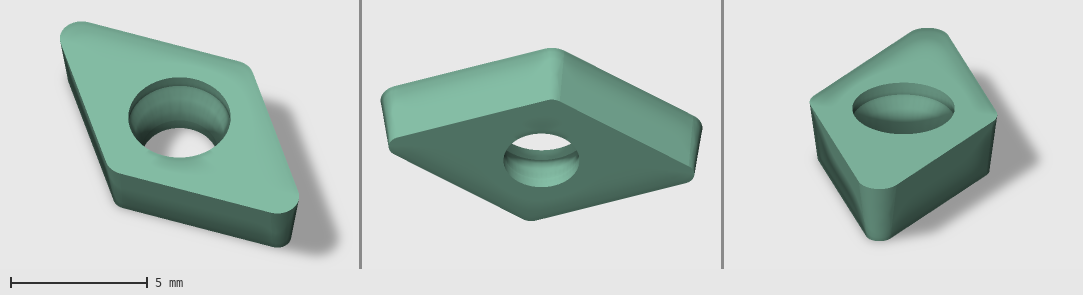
import cadquery as cq
import math

length = 10.72
width = 6.35
thickness = 2.38
acute_angle = math.radians(55)
clearance_angle = 7.0

bore_radius = 1.39
mouth_radius = 1.88
mouth_depth = 0.5
seat_arc_radius = 2.36

spread = (1 + math.cos(acute_angle)) / math.sin(acute_angle)
corner_radius = (width * spread - length) / (2 * (spread - 1))


def rounded_rhombus(inset):
    """Wire of the outline moved inward by inset, at the matching height."""
    height = -inset / math.tan(math.radians(clearance_angle))
    half_width = width / 2 - inset
    side = 2 * half_width / math.sin(acute_angle)
    lean = side * math.cos(acute_angle)
    left = (side + lean) / 2
    right = (side - lean) / 2
    corners = [(-left, -half_width), (right, -half_width), (left, half_width), (-right, half_width)]
    sharp = cq.Sketch().polygon(corners + corners[:1])
    outline = sharp.vertices().fillet(corner_radius - inset)
    return outline._faces.Faces()[0].outerWire().translate(cq.Vector(0, 0, height))


def insert_body():
    bottom_inset = thickness * math.tan(math.radians(clearance_angle))
    wires = [rounded_rhombus(bottom_inset), rounded_rhombus(0)]
    body = cq.Solid.makeLoft(wires, True)
    return cq.Workplane("XY").newObject([body])


def screw_hole():
    """Revolved cutter; the seat arc runs tangent into the bore."""
    arc_centre_x = bore_radius + seat_arc_radius

    def arc_point(radius):
        drop = math.sqrt(seat_arc_radius**2 - (arc_centre_x - radius) ** 2)
        return radius, drop

    seat_height = arc_point(mouth_radius)[1]
    bore_top = -mouth_depth - seat_height
    middle_x, middle_height = arc_point((bore_radius + mouth_radius) / 2)
    return (
        cq.Workplane("XZ")
        .moveTo(0, 0)
        .lineTo(mouth_radius, 0)
        .lineTo(mouth_radius, -mouth_depth)
        .threePointArc((middle_x, bore_top + middle_height), (bore_radius, bore_top))
        .lineTo(bore_radius, -thickness)
        .lineTo(0, -thickness)
        .close()
        .revolve(360, (0, 0, 0), (0, 1, 0))
    )


result = insert_body().cut(screw_hole())